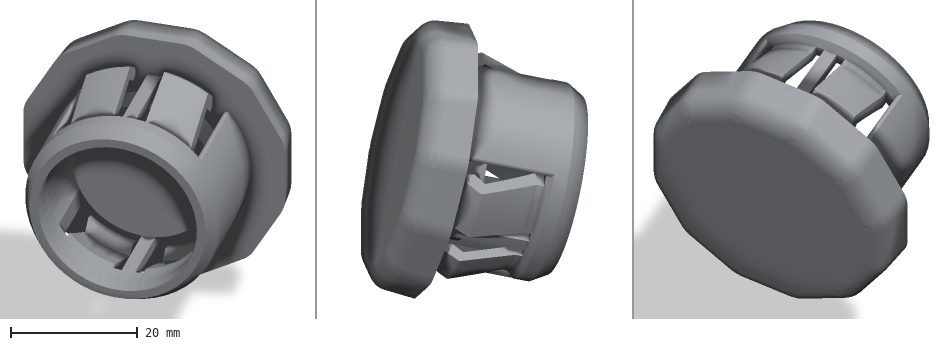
import cadquery as cq
import math

cap_width = 43.0
cap_height = 8.0
cap_sides = 12
cap_corner_radius = 5.0
cap_draft = 5.0
cap_edge_radius = 3.3

tube_length = 20.0
tube_radius = 32.0 / 2
bore_radius = 26.1 / 2
nose_length = 2.62
nose_step = 1.5

boss_radius = 23.65 / 2
boss_height = 5.0

window_half_width = 11.45
window_depth = 14.05
window_edge_radius = 0.5
bevel_size = 1.08
recess_radius = tube_radius - bevel_size
rib_width = 2.25

arm_inner_x = 2.55
arm_inner_tilt = 3.0
arm_outer_x = 10.0
arm_root_y = -12.85
arm_peak_y = -3.7
arm_peak_land = 0.25
arm_tip_y = -1.3
arm_peak_radius = 18.4
arm_tip_radius = 16.85
tip_bands = 4
tip_bulge = 0.05
arm_tip_inner_radius = 15.5
arm_lip_y = -2.65
arm_lip_radius = 15.22
arm_elbow_y = -4.4
arm_elbow_radius = 16.45


def revolve_about_y(points):
    """Solid of revolution from (radius, Y) points."""
    return cq.Workplane("XY").polyline(points).close().revolve(360, (0, 0, 0), (0, 1, 0))


def box(x_range, y_range, z_range):
    """Box between the given limits on each axis."""
    spans = [high - low for low, high in (x_range, y_range, z_range)]
    corner = (x_range[0], y_range[0], z_range[0])
    return cq.Workplane("XY").box(*spans, centered=False).translate(corner)


def make_cap():
    """Rounded twelve-sided cap, drafted toward its domed outer edge."""
    corner_diameter = cap_width / math.cos(math.pi / cap_sides)
    cap = (
        cq.Workplane("XY")
        .transformed(rotate=(0, 0, 180 / cap_sides))
        .polygon(cap_sides, corner_diameter)
        .extrude(cap_height, taper=cap_draft)
        .edges("not #Z")
        .fillet(cap_corner_radius)
    )
    cap = cap.faces(">Z").edges().fillet(cap_edge_radius)
    return cap.rotate((0, 0, 0), (1, 0, 0), -90)


def make_tube():
    """Hollow tube with a conical nose."""
    return revolve_about_y([
        (bore_radius, 0),
        (tube_radius, 0),
        (tube_radius, nose_length - tube_length),
        (tube_radius - nose_step, -tube_length),
        (bore_radius, -tube_length),
    ])


def make_window():
    """Opening through the +Z wall with rounded long edges and a conical bevel at its end."""
    opening = box((-window_half_width, window_half_width), (-window_depth, 0), (0, cap_width))

    center_x = window_half_width + window_edge_radius
    center_z = math.sqrt((tube_radius - window_edge_radius) ** 2 - center_x**2)
    rim_x = center_x * tube_radius / (tube_radius - window_edge_radius)
    rim_z = center_z * tube_radius / (tube_radius - window_edge_radius)
    middle_angle = (math.atan2(center_z, center_x) + math.pi) / 2
    middle_x = center_x + window_edge_radius * math.cos(middle_angle)
    middle_z = center_z + window_edge_radius * math.sin(middle_angle)
    rim_y = window_depth + bevel_size
    flare = (
        cq.Workplane("XZ")
        .moveTo(-window_half_width, center_z)
        .threePointArc((-middle_x, middle_z), (-rim_x, rim_z))
        .lineTo(-rim_x, cap_width)
        .lineTo(rim_x, cap_width)
        .lineTo(rim_x, rim_z)
        .threePointArc((middle_x, middle_z), (window_half_width, center_z))
        .close()
        .extrude(rim_y)
    )
    cone = revolve_about_y([
        (recess_radius, 0),
        (recess_radius, -window_depth),
        (tube_radius, -rim_y),
        (cap_width, -rim_y),
        (cap_width, 0),
    ])
    return opening.union(flare.intersect(cone))


def make_rib():
    """Bar crossing the middle of the +Z window."""
    ring = revolve_about_y([
        (bore_radius, 0),
        (recess_radius, 0),
        (recess_radius, -window_depth),
        (bore_radius, -window_depth),
    ])
    return ring.intersect(box((-rib_width / 2, rib_width / 2), (-window_depth, 0), (0, cap_width)))


def lead_in_points():
    """Arm profile from peak to tip: narrow conical bands along a parabola bulging outward."""
    points = []
    for band in range(tip_bands + 1):
        fraction = band / tip_bands
        bulge = tip_bulge * (1 - (2 * fraction - 1) ** 2)
        radius = arm_peak_radius + fraction * (arm_tip_radius - arm_peak_radius) + bulge
        y = arm_peak_y + fraction * (arm_tip_y - arm_peak_y)
        points.append((radius, y))
    return points


def make_arm_width():
    """Prism limiting the +X arm sideways; its side facing the rib leans away with rising Z."""
    top_z = arm_peak_radius
    base_z = math.sqrt(bore_radius**2 - arm_outer_x**2)
    lean = math.tan(math.radians(arm_inner_tilt))
    return (
        cq.Workplane("XZ")
        .polyline([
            (arm_inner_x + lean * (base_z - bore_radius), base_z),
            (arm_outer_x, base_z),
            (arm_outer_x, top_z),
            (arm_inner_x + lean * (top_z - bore_radius), top_z),
        ])
        .close()
        .extrude(window_depth)
    )


def make_arms():
    """Pair of bent snap arms in the +Z window."""
    ring = revolve_about_y([
        (bore_radius, -window_depth),
        (recess_radius, -window_depth),
        (recess_radius, arm_root_y),
        (arm_peak_radius, arm_peak_y - arm_peak_land),
        *lead_in_points(),
        (arm_tip_inner_radius, arm_tip_y),
        (arm_lip_radius, arm_lip_y),
        (arm_elbow_radius, arm_elbow_y),
        (bore_radius, arm_root_y),
    ])
    arm_width = make_arm_width()
    return ring.intersect(arm_width.union(arm_width.mirror("YZ")))


tube = make_tube()
window = make_window()
tube = tube.cut(window).cut(window.mirror("XY"))
rib_and_arms = make_rib().union(make_arms())
tube = tube.union(rib_and_arms).union(rib_and_arms.mirror("XY"))

boss = cq.Workplane("XZ").circle(boss_radius).extrude(boss_height)

result = tube.union(make_cap()).union(boss)